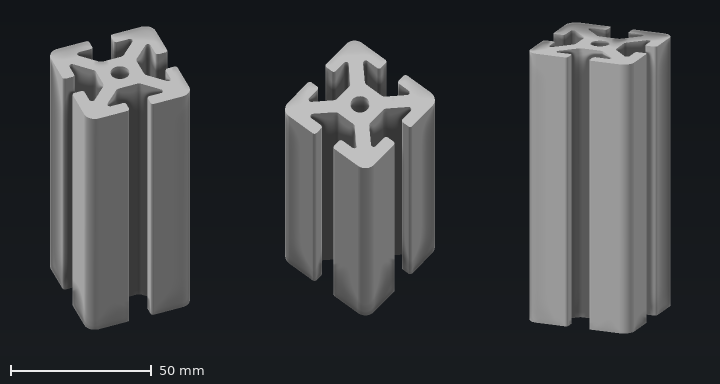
import cadquery as cq
import math

side = 40.0
length = 100.0
corner_radius = 4.0

slot_width = 8.2
lip_thickness = 4.5
lip_radius = 1.0

core_width = 15.5
web_thickness = 5.0
pocket_radius = 1.0
core_radius = 2.0

bore_diameter = 6.8

half_side = side / 2
lip_inner = half_side - lip_thickness
core_face = core_width / 2

web_offset = web_thickness / math.sqrt(2)

half_slot = slot_width / 2
half_pocket = lip_inner - web_offset
half_floor = core_face - web_offset


def slot_cutter():
    """T-slot open towards +Y, over the full length, without the rounded lips."""
    right_half = [
        (half_floor, core_face),
        (half_pocket, lip_inner),
        (half_slot, lip_inner),
        (half_slot, half_side),
    ]
    left_half = [(-x, y) for x, y in reversed(right_half)]
    return cq.Workplane("XY").polyline(right_half + left_half).close().extrude(length)


def edges_at(body, points):
    """Lengthwise edges of the body that pass through the given XY points."""
    reach = 0.05
    lengthwise_edges = body.edges("|Z").vals()
    chosen = [
        edge
        for edge in lengthwise_edges
        if any(
            abs(edge.Center().x - x) < reach and abs(edge.Center().y - y) < reach
            for x, y in points
        )
    ]
    return body.newObject(chosen)


def around(x, y):
    """The eight mirrored and swapped copies of a profile point."""
    return [
        point
        for sx in (1, -1)
        for sy in (1, -1)
        for point in ((sx * x, sy * y), (sy * y, sx * x))
    ]


profile = cq.Workplane("XY").rect(side, side).extrude(length).edges("|Z").fillet(corner_radius)
for quarter in range(4):
    profile = profile.cut(slot_cutter().rotate((0, 0, 0), (0, 0, 1), 90 * quarter))

for x, y, radius in (
    (half_slot, half_side, lip_radius),
    (half_slot, lip_inner, lip_radius),
    (half_pocket, lip_inner, pocket_radius),
    (half_floor, core_face, core_radius),
):
    profile = edges_at(profile, around(x, y)).fillet(radius)

bore = cq.Workplane("XY").circle(bore_diameter / 2).extrude(length)
result = profile.cut(bore)